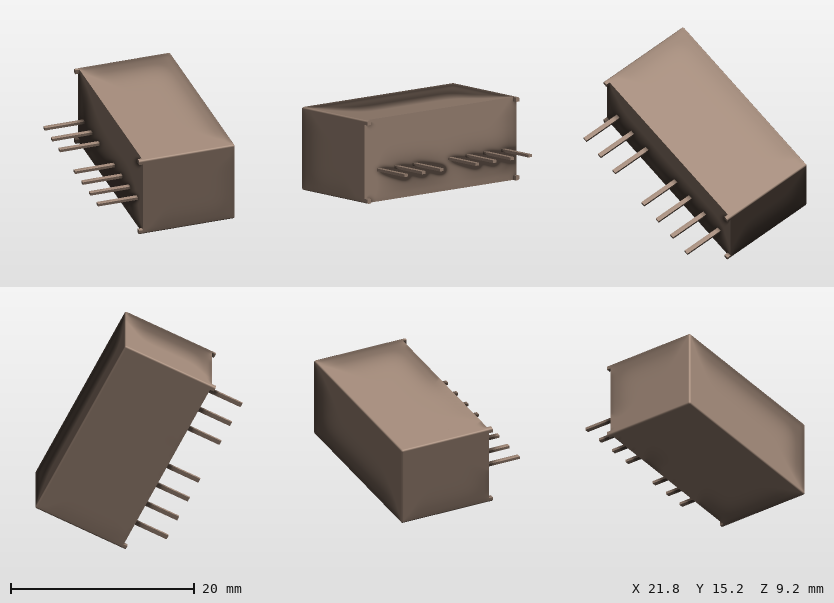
import cadquery as cq

length = 21.8
height = 9.2
total_depth = 15.2
body_depth = 10.6
edge_radius = 0.2
foot_size = 0.5
foot_length = 0.45

pin_width = 0.5
pin_thickness = 0.3
pin_length = total_depth - body_depth
pin_pitch = 2.54
pin_slots = (0, 1, 2, 4, 5, 6, 7)
pin_row_height = 3.5
first_pin_x = -pin_pitch * max(pin_slots) / 2

marker_diameter = 0.8
marker_depth = 0.1
marker_from_pin_face = 2.03


def make_marker():
    """Thin disc whose upper face is level with the housing top."""
    return (
        cq.Workplane("XY", origin=(first_pin_x, marker_from_pin_face, height - marker_depth))
        .circle(marker_diameter / 2)
        .extrude(marker_depth)
    )


def make_housing(marker):
    """Rounded block with four corner feet and a recess for the marker."""
    block_depth = body_depth + foot_length
    block = (
        cq.Workplane("XY", origin=(0, -foot_length, 0))
        .box(length, block_depth, height, centered=(True, False, False))
        .edges("|Y or >Y")
        .fillet(edge_radius)
    )
    gap_between_sides = cq.Workplane("XY", origin=(0, -foot_length, 0)).box(
        length - 2 * foot_size, foot_length, height, centered=(True, False, False)
    )
    gap_between_ends = cq.Workplane("XY", origin=(0, -foot_length, foot_size)).box(
        length, foot_length, height - 2 * foot_size, centered=(True, False, False)
    )
    return block.cut(gap_between_sides).cut(gap_between_ends).cut(marker)


def make_pin(slot):
    """Straight rectangular pin standing on the pin face."""
    return cq.Workplane("XY", origin=(first_pin_x + slot * pin_pitch, -pin_length / 2, pin_row_height)).box(
        pin_width, pin_length, pin_thickness
    )


marker = make_marker()
housing = make_housing(marker)
pins = [make_pin(slot) for slot in pin_slots]

result = cq.Compound.makeCompound([housing.val(), marker.val(), *[pin.val() for pin in pins]])